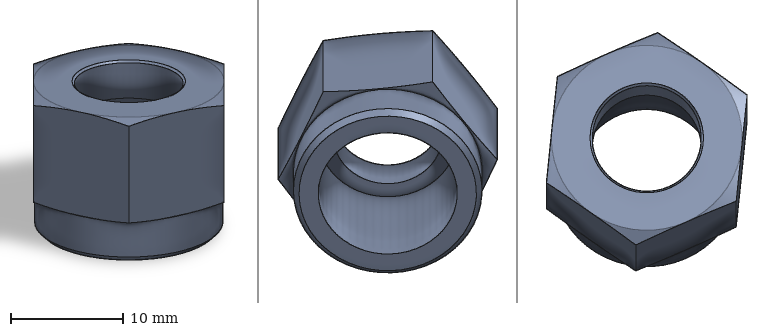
import cadquery as cq
import math

across_flats = 17.0
hex_sides = 6
hex_half_angle = 180 / hex_sides
hex_height = 10.0
corner_bevel_angle = 15.0

collar_diameter = 16.8
collar_height = 4.0
collar_chamfer = 0.5

bore_diameter = 9.7
bore_chamfer = 0.2
counterbore_diameter = 12.38
counterbore_depth = 10.4

total_height = collar_height + hex_height
across_corners = across_flats / math.cos(math.radians(hex_half_angle))


def hex_body():
    """Hexagon whose corners are bevelled at both ends down to the across-flats circle."""
    prism = (
        cq.Workplane("XY")
        .polygon(hex_sides, across_corners)
        .extrude(hex_height)
        .rotate((0, 0, 0), (0, 0, 1), hex_half_angle)
        .translate((0, 0, collar_height))
    )
    face_radius = across_flats / 2
    corner_radius = across_corners / 2
    corner_drop = (corner_radius - face_radius) * math.tan(math.radians(corner_bevel_angle))
    turned_envelope = (
        cq.Workplane("XZ")
        .moveTo(0, collar_height)
        .lineTo(face_radius, collar_height)
        .lineTo(corner_radius, collar_height + corner_drop)
        .lineTo(corner_radius, total_height - corner_drop)
        .lineTo(face_radius, total_height)
        .lineTo(0, total_height)
        .close()
        .revolve(360, (0, 0, 0), (0, 1, 0))
    )
    return prism.intersect(turned_envelope)


def collar():
    """Round collar with a chamfered lower edge."""
    return (
        cq.Workplane("XY")
        .circle(collar_diameter / 2)
        .extrude(collar_height)
        .faces("<Z")
        .chamfer(collar_chamfer)
    )


def stepped_bore():
    """Solid of revolution to cut: counterbore, through bore and top chamfer."""
    bore_radius = bore_diameter / 2
    counterbore_radius = counterbore_diameter / 2
    return (
        cq.Workplane("XZ")
        .lineTo(counterbore_radius, 0)
        .lineTo(counterbore_radius, counterbore_depth)
        .lineTo(bore_radius, counterbore_depth)
        .lineTo(bore_radius, total_height - bore_chamfer)
        .lineTo(bore_radius + bore_chamfer, total_height)
        .lineTo(0, total_height)
        .close()
        .revolve(360, (0, 0, 0), (0, 1, 0))
    )


result = hex_body().union(collar()).cut(stepped_bore())